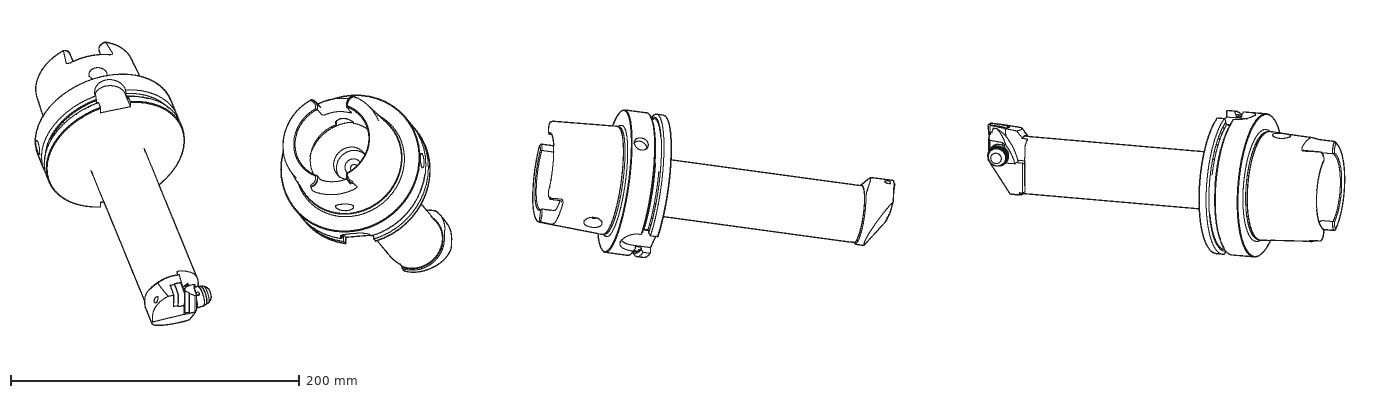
import cadquery as cq
import math


TOTAL_LENGTH = 250.0

TAPER_END = 47.2
TAPER_MOUTH_RADIUS = 35.5
TAPER_END_RADIUS = 38.0
MOUTH_ROUND = 2.0
RELIEF_RADIUS = 37.5
FLANGE_CORNER = 1.5

FLANGE_START = 50.0
FLANGE_END = 78.7
FLANGE_RADIUS = 50.0
FLANGE_CHAMFER = 0.5
GROOVE_START = 66.5
GROOVE_END = 73.2
GROOVE_FLANK_WIDTH = 1.2
GROOVE_FLANK_DEPTH = 2.2
GROOVE_FLOOR_RADIUS = 46.0
GROOVE_FLOOR_ROUND = 0.7
KEYWAY_WIDTH = 21.5
KEYWAY_START = 54.5
KEYWAY_FLOOR = 44.0
SIDE_HOLE_X = 57.0
SIDE_HOLE_DIAMETER = 10.0
SIDE_HOLE_DEPTH = 4.5

BAR_RADIUS = 20.0
BAR_FILLET = 5.0
BAR_END = 224.0

BORE_RADIUS = 26.5
BORE_CHAMFER = 0.7
BORE_STRAIGHT = 20.5
THROAT_RADIUS = 25.0
THROAT_END = 36.0
UNDERCUT_RADIUS = 30.0
BORE_FLOOR = 50.0
TUBE_SEAT_RADIUS = 23.7 / 2
TUBE_SEAT_DEPTH = 7.5
COUNTERSINK_RADIUS = 5.7
COOLANT_RADIUS = 5.2 / 2
COOLANT_END = 100.0
CROSS_HOLE_X = 34.7
CROSS_HOLE_DIAMETER = 12.5

SLOT_DEPTH_TOP = 15.2
SLOT_DEPTH_BOTTOM = 10.0
SLOT_HALF_WIDTH = 10.5
SLOT_CORNER_RADIUS = 5.0
SLOT_CORNER_Z = 32.0
SLOT_FLOOR_ROUND = 2.0
SLOT_INNER_Z = 17.5
SLOT_OUTER_Z = 45.0
SLOT_MOUTH_CHAMFER = 1.0

HEAD_RADIUS = 21.2
HEAD_RISE = 6.5
HEAD_END = 247.5
HEAD_REACH = 255.0
HEAD_CONE_RADIUS = 20.5
HEAD_TOP_POINT = (230.0, 0, 24.5)
HEAD_TOP_NORMAL = (-0.1, -0.12, 1)
HEAD_FACE_POINT = (HEAD_END, 1.2, 5.0)
HEAD_FACE_NORMAL = (1, -0.13, -0.05)
NOSE_CUT_X = 229.7
NOSE_CUT_Z = -20.7
NOSE_CUT_END_Z = 4.7
LEDGE_Z = 3.7
LEDGE_Y = 9.2
RAKE_START = (220.0, 3.5)
RAKE_SLOPE = -0.1
GULLET_TOP = (216.2, 20.5)
GULLET_MIDDLE = (219.0, 12.0)
GULLET_FLOOR_START = (221.5, LEDGE_Y)
GULLET_ROUND = 1.7
SMALL_HOLE_X = 241.2
SMALL_HOLE_Z = 18.0
SMALL_HOLE_DIAMETER = 4.0
SMALL_HOLE_FLOOR_Y = -12.5

INSERT_EDGE = 13.0
INSERT_CORNER_ANGLE = 80.0
INSERT_LEAD_ANGLE = 184.0
INSERT_NOSE_RADIUS = 0.7
INSERT_THICKNESS = 4.5
INSERT_TILT = -3.5
SHIM_THICKNESS = 3.0
SHIM_SETBACK = 1.0
HALF_CORNER = math.radians(INSERT_CORNER_ANGLE / 2)
CORNER_AXIS = math.radians(INSERT_LEAD_ANGLE - 180) + HALF_CORNER
CORNER_EXCESS = INSERT_NOSE_RADIUS * (math.cos(CORNER_AXIS) / math.sin(HALF_CORNER) - 1)
TIP = (TOTAL_LENGTH + CORNER_EXCESS, 0.5, 27.0)

CLAMP_BACK = 226.0
CLAMP_TIP = 246.5
CLAMP_DEPTH_Y = 12.7
CLAMP_NOSE_X = 245.5
CLAMP_NOSE_Y = 4.7
CLAMP_PLAN = [
    (CLAMP_BACK, 6.0),
    (237.2, 2.2),
    (CLAMP_NOSE_X, 2.0),
    (CLAMP_NOSE_X, CLAMP_NOSE_Y),
    (CLAMP_TIP, CLAMP_NOSE_Y),
    (CLAMP_TIP, 9.0),
    (245.0, 10.5),
    (235.5, 11.2),
    (233.5, CLAMP_DEPTH_Y),
    (CLAMP_BACK, CLAMP_DEPTH_Y),
]
CLAMP_TOP_Z = 25.0
CLAMP_ARC_MIDDLE = (233.0, 17.0)
CLAMP_ARC_END = (243.0, CLAMP_TOP_Z)
CLAMP_SLOPE_POINT = (242.5, CLAMP_NOSE_Y, 23.0)
CLAMP_SLOPE_NORMAL = (0, 0.8, 1)
SCREW_SEAT = (238.2, 10.0, 9.0)
SCREW_TILT = 7.0
COLLAR_RADIUS = 7.2
COLLAR_HEIGHT = 5.5
BAND_RADIUS = 6.7
BAND_HEIGHT = 7.5
RIM_RADIUS = 6.2
RIM_HEIGHT = 9.2
CROWN_RADIUS = 3.7
SCREW_HEIGHT = 12.0
SCREW_HOLE_X = 241.0
SCREW_HOLE_Y = 12.5
SCREW_HOLE_DIAMETER = 2.0
SCREW_HOLE_FLOOR_Z = 12.7

BIG = 150.0


def half_space(point, normal):
    """A large block that fills the side of a plane toward its normal."""
    return cq.Workplane(cq.Plane(point, normal=normal)).rect(BIG, BIG).extrude(BIG)


def turned_body():
    flank_start = GROOVE_START + GROOVE_FLANK_WIDTH
    flank_end = GROOVE_END - GROOVE_FLANK_WIDTH
    flank_radius = FLANGE_RADIUS - GROOVE_FLANK_DEPTH
    wall_radius = GROOVE_FLOOR_RADIUS + GROOVE_FLOOR_ROUND
    outline = (
        cq.Workplane("XY")
        .moveTo(0, 0)
        .lineTo(0, TAPER_MOUTH_RADIUS - MOUTH_ROUND)
        .radiusArc((MOUTH_ROUND, TAPER_MOUTH_RADIUS), MOUTH_ROUND)
        .lineTo(TAPER_END, TAPER_END_RADIUS)
        .lineTo(TAPER_END, RELIEF_RADIUS)
        .lineTo(FLANGE_START - FLANGE_CORNER, RELIEF_RADIUS)
        .radiusArc((FLANGE_START, RELIEF_RADIUS + FLANGE_CORNER), FLANGE_CORNER)
        .lineTo(FLANGE_START, FLANGE_RADIUS - FLANGE_CHAMFER)
        .lineTo(FLANGE_START + FLANGE_CHAMFER, FLANGE_RADIUS)
        .lineTo(GROOVE_START, FLANGE_RADIUS)
        .lineTo(flank_start, flank_radius)
        .lineTo(flank_start, wall_radius)
        .radiusArc((flank_start + GROOVE_FLOOR_ROUND, GROOVE_FLOOR_RADIUS), -GROOVE_FLOOR_ROUND)
        .lineTo(flank_end - GROOVE_FLOOR_ROUND, GROOVE_FLOOR_RADIUS)
        .radiusArc((flank_end, wall_radius), -GROOVE_FLOOR_ROUND)
        .lineTo(flank_end, flank_radius)
        .lineTo(GROOVE_END, FLANGE_RADIUS)
        .lineTo(FLANGE_END - FLANGE_CHAMFER, FLANGE_RADIUS)
        .lineTo(FLANGE_END, FLANGE_RADIUS - FLANGE_CHAMFER)
        .lineTo(FLANGE_END, BAR_RADIUS + BAR_FILLET)
        .radiusArc((FLANGE_END + BAR_FILLET, BAR_RADIUS), -BAR_FILLET)
        .lineTo(BAR_END, BAR_RADIUS)
        .lineTo(BAR_END, 0)
        .close()
    )
    return outline.revolve(360, (0, 0, 0), (1, 0, 0))


def bore():
    seat_end = BORE_FLOOR + TUBE_SEAT_DEPTH
    cone_end = seat_end + COUNTERSINK_RADIUS - COOLANT_RADIUS
    outline = cq.Workplane("XY").polyline([
        (0, 0),
        (0, BORE_RADIUS + BORE_CHAMFER),
        (BORE_CHAMFER, BORE_RADIUS),
        (BORE_STRAIGHT, BORE_RADIUS),
        (THROAT_END, THROAT_RADIUS),
        (THROAT_END, UNDERCUT_RADIUS),
        (BORE_FLOOR, UNDERCUT_RADIUS),
        (BORE_FLOOR, TUBE_SEAT_RADIUS),
        (seat_end, TUBE_SEAT_RADIUS),
        (seat_end, COUNTERSINK_RADIUS),
        (cone_end, COOLANT_RADIUS),
        (COOLANT_END, COOLANT_RADIUS),
        (COOLANT_END, 0),
    ]).close()
    return outline.revolve(360, (0, 0, 0), (1, 0, 0))


def slot_outline(plane, growth):
    """Slot section whose sides flare outward in round corners; growth widens it all round."""
    half = SLOT_HALF_WIDTH + growth
    radius = SLOT_CORNER_RADIUS
    corner_z = SLOT_CORNER_Z - growth
    return (
        cq.Workplane(plane)
        .moveTo(-half, SLOT_INNER_Z)
        .lineTo(-half, corner_z - radius)
        .radiusArc((-half - radius, corner_z), -radius)
        .lineTo(-half - 2 * radius, corner_z)
        .lineTo(-half - 2 * radius, SLOT_OUTER_Z)
        .lineTo(half + 2 * radius, SLOT_OUTER_Z)
        .lineTo(half + 2 * radius, corner_z)
        .lineTo(half + radius, corner_z)
        .radiusArc((half, corner_z - radius), -radius)
        .lineTo(half, SLOT_INNER_Z)
        .close()
    )


def drive_slot(depth):
    slot = slot_outline("YZ", 0).extrude(depth).faces(">X").edges().fillet(SLOT_FLOOR_ROUND)
    mouth = slot_outline("YZ", SLOT_MOUTH_CHAMFER).extrude(SLOT_MOUTH_CHAMFER, taper=45)
    return slot.union(mouth)


def keyway():
    half = KEYWAY_WIDTH / 2
    return (
        cq.Workplane("XY", origin=(0, 0, KEYWAY_FLOOR))
        .moveTo(BIG, -half)
        .lineTo(KEYWAY_START + half, -half)
        .radiusArc((KEYWAY_START + half, half), half)
        .lineTo(BIG, half)
        .close()
        .extrude(BIG)
    )


def upside_down(body):
    return body.rotate((0, 0, 0), (1, 0, 0), 180)


def head_block():
    length = HEAD_REACH - BAR_END
    base = cq.Workplane("YZ", origin=(BAR_END, 0, 0))
    block = base.circle(HEAD_RADIUS).extrude(length)
    block = block.union(base.center(0, HEAD_RISE).circle(HEAD_RADIUS).extrude(length))
    block = block.union(base.center(0, HEAD_RISE / 2).rect(2 * HEAD_RADIUS, HEAD_RISE).extrude(length))
    cone = (
        cq.Workplane("XY")
        .polyline([
            (BAR_END, 0),
            (BAR_END, HEAD_CONE_RADIUS),
            (HEAD_REACH, HEAD_CONE_RADIUS + length),
            (HEAD_REACH, 0),
        ])
        .close()
        .revolve(360, (0, 0, 0), (1, 0, 0))
    )
    nose_normal = (NOSE_CUT_END_Z - NOSE_CUT_Z, 0, NOSE_CUT_X - HEAD_END)
    block = block.intersect(cone)
    block = block.cut(half_space(HEAD_TOP_POINT, HEAD_TOP_NORMAL))
    block = block.cut(half_space(HEAD_FACE_POINT, HEAD_FACE_NORMAL))
    return block.cut(half_space((NOSE_CUT_X, 0, NOSE_CUT_Z), nose_normal))


def gullet():
    """Chip space beside the head: deep above the ledge, shallower along the whole side."""
    rake_end = (HEAD_REACH, RAKE_START[1] + RAKE_SLOPE * (HEAD_REACH - RAKE_START[0]))
    outside = [(HEAD_REACH, BIG), (GULLET_TOP[0], BIG)]
    deep = (
        cq.Workplane("XY", origin=(0, 0, LEDGE_Z))
        .polyline([GULLET_TOP, GULLET_MIDDLE, RAKE_START, rake_end] + outside)
        .close()
        .extrude(BIG)
    )
    wall_foot = (
        (GULLET_MIDDLE[0] + RAKE_START[0]) / 2,
        (GULLET_MIDDLE[1] + RAKE_START[1]) / 2,
        LEDGE_Z,
    )
    deep = deep.edges(cq.NearestToPointSelector(wall_foot)).fillet(GULLET_ROUND)
    side = (
        cq.Workplane("XY", origin=(0, 0, -BIG))
        .polyline([GULLET_TOP, GULLET_MIDDLE, GULLET_FLOOR_START, (HEAD_REACH, LEDGE_Y)] + outside)
        .close()
        .extrude(2 * BIG)
    )
    return deep.union(side)


def rhombic_plate(edge, top_y, thickness, setback):
    """Plate with the cutting corner at the tip, lying across Y and tilted about Z."""
    corner = (TIP[0] - setback, TIP[2] - setback)
    first = math.radians(INSERT_LEAD_ANGLE)
    second = first + math.radians(INSERT_CORNER_ANGLE)
    step_a = (edge * math.cos(first), edge * math.sin(first))
    step_b = (edge * math.cos(second), edge * math.sin(second))
    points = [
        corner,
        (corner[0] + step_a[0], corner[1] + step_a[1]),
        (corner[0] + step_a[0] + step_b[0], corner[1] + step_a[1] + step_b[1]),
        (corner[0] + step_b[0], corner[1] + step_b[1]),
    ]
    plate = cq.Workplane("XZ", origin=(0, top_y, 0)).polyline(points).close().extrude(thickness)
    plate = plate.edges("|Y").fillet(INSERT_NOSE_RADIUS)
    return plate.rotate(TIP, (TIP[0], TIP[1], TIP[2] + 2.5), INSERT_TILT)


def make_screw():
    """Domed clamp screw head with a stepped collar, tilted about Z."""
    screw = (
        cq.Workplane("XY")
        .moveTo(0, 0)
        .lineTo(COLLAR_RADIUS, 0)
        .lineTo(COLLAR_RADIUS, COLLAR_HEIGHT)
        .lineTo(BAND_RADIUS, COLLAR_HEIGHT)
        .lineTo(BAND_RADIUS, BAND_HEIGHT)
        .lineTo(RIM_RADIUS, BAND_HEIGHT)
        .lineTo(RIM_RADIUS, RIM_HEIGHT)
        .radiusArc((CROWN_RADIUS, SCREW_HEIGHT), -RIM_RADIUS)
        .lineTo(0, SCREW_HEIGHT)
        .close()
        .revolve(360, (0, 0, 0), (0, 1, 0))
        .rotate((0, 0, 0), (0, 0, 1), SCREW_TILT)
        .translate(SCREW_SEAT)
    )
    hole = (
        cq.Workplane("XY", origin=(SCREW_HOLE_X, SCREW_HOLE_Y, SCREW_HOLE_FLOOR_Z))
        .circle(SCREW_HOLE_DIAMETER / 2)
        .extrude(BIG)
    )
    return screw.cut(hole)


def make_clamp(screw):
    """Clamp finger on the ledge: a curved back, a sloping top and a seat for the screw."""
    plan = cq.Workplane("XY", origin=(0, 0, LEDGE_Z)).polyline(CLAMP_PLAN).close().extrude(BIG)
    side = (
        cq.Workplane("XZ", origin=(0, BIG / 2, 0))
        .moveTo(CLAMP_BACK, LEDGE_Z)
        .threePointArc(CLAMP_ARC_MIDDLE, CLAMP_ARC_END)
        .lineTo(CLAMP_TIP, CLAMP_TOP_Z)
        .lineTo(CLAMP_TIP, LEDGE_Z)
        .close()
        .extrude(BIG)
    )
    clamp = plan.intersect(side).cut(half_space(CLAMP_SLOPE_POINT, CLAMP_SLOPE_NORMAL))
    return clamp.cut(screw)


def make_holder(insert, shim):
    """Taper, flange, bar and head in one piece, with pockets for the insert and the shim."""
    holder = turned_body().cut(bore())
    cross_hole = (
        cq.Workplane("XY", origin=(CROSS_HOLE_X, 0, -BIG / 2)).circle(CROSS_HOLE_DIAMETER / 2).extrude(BIG)
    )
    side_hole = (
        cq.Workplane("XZ", origin=(SIDE_HOLE_X, SIDE_HOLE_DEPTH - FLANGE_RADIUS, 0))
        .circle(SIDE_HOLE_DIAMETER / 2)
        .extrude(BIG)
    )
    holder = holder.cut(cross_hole).cut(side_hole)
    holder = holder.cut(drive_slot(SLOT_DEPTH_TOP)).cut(upside_down(drive_slot(SLOT_DEPTH_BOTTOM)))
    holder = holder.cut(keyway()).cut(upside_down(keyway()))
    small_hole = (
        cq.Workplane("XZ", origin=(SMALL_HOLE_X, SMALL_HOLE_FLOOR_Y, SMALL_HOLE_Z))
        .circle(SMALL_HOLE_DIAMETER / 2)
        .extrude(BIG)
    )
    holder = holder.union(head_block()).cut(gullet()).cut(small_hole)
    return holder.cut(insert).cut(shim)


insert = rhombic_plate(INSERT_EDGE, TIP[1], INSERT_THICKNESS, 0)
shim = rhombic_plate(INSERT_EDGE - SHIM_SETBACK, TIP[1] - INSERT_THICKNESS, SHIM_THICKNESS, SHIM_SETBACK)
screw = make_screw()
clamp = make_clamp(screw)
holder = make_holder(insert, shim)

bodies = [holder, insert, shim, clamp, screw]
result = cq.Compound.makeCompound([solid for body in bodies for solid in body.solids().vals()])